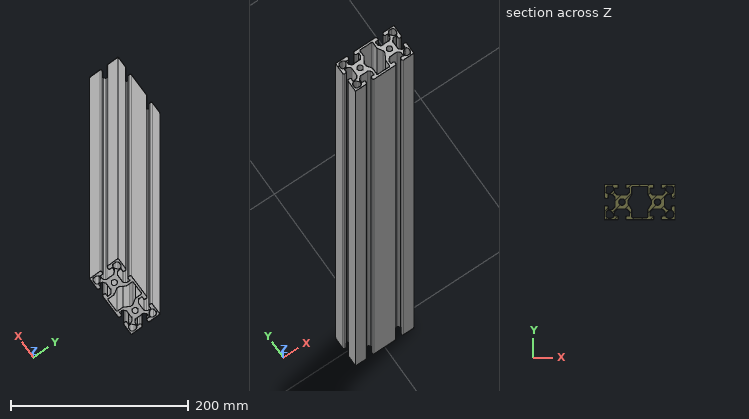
import cadquery as cq
import math

width = 80.0
depth = 40.0
length = 1000.0
half_width = width / 2
half_depth = depth / 2

module = depth
half_module = module / 2

slot_opening = 8.0
slot_mouth_radius = 1.5
slot_lip_radius = 1.2
lip_thickness = 4.5
slot_inner_width = 16.8
slot_wing_depth = 9.0
slot_wing_radius = 3.0
slot_floor_width = 10.8
slot_floor_radius = 2.0
slot_depth = 11.9

core_bore_diameter = 6.8

corner_wall = 2.0
corner_hollow_size = 8.5
corner_hollow_cut = 4.0
corner_hollow_radius = 3.0

cavity_wall = 2.5
cavity_neck_width = 17.5
cavity_neck_radius = 1.0
cavity_shoulder_height = 17.0
cavity_waist_width = 26.0
cavity_waist_height = 3.6
cavity_waist_radius = 2.5


def rounding(before, corner, after):
    """Start, middle and end of the arc that rounds a corner (x, y, radius)."""
    x, y, radius = corner
    to_before = math.atan2(before[1] - y, before[0] - x)
    to_after = math.atan2(after[1] - y, after[0] - x)
    half_angle = math.remainder(to_after - to_before, 2 * math.pi) / 2
    bisector = to_before + half_angle
    tangent = radius / math.tan(abs(half_angle))
    reach = radius / math.sin(abs(half_angle)) - radius
    return [
        (x + distance * math.cos(angle), y + distance * math.sin(angle))
        for distance, angle in ((tangent, to_before), (reach, bisector), (tangent, to_after))
    ]


def prism(corners):
    """Full-length prism from a closed outline of (x, y, radius) corners; radius 0 is sharp."""
    outline = None
    for index, corner in enumerate(corners):
        following = corners[(index + 1) % len(corners)]
        if corner[2] > 0:
            start, middle, end = rounding(corners[index - 1], corner, following)
        else:
            start = corner[:2]
        if outline is None:
            outline = cq.Workplane("XY").moveTo(*start)
        else:
            outline = outline.lineTo(*start)
        if corner[2] > 0:
            outline = outline.threePointArc(middle, end)
    return outline.close().extrude(length)


def slot_corners(centre, angle):
    """Corners of the T-slot on one face of the module at x = centre.

    At angle 0 the slot opens toward -Y and its corners run from -X to +X.
    """
    right_half = [
        (slot_opening / 2, 0, slot_mouth_radius),
        (slot_opening / 2, lip_thickness, slot_lip_radius),
        (slot_inner_width / 2, lip_thickness, 0),
        (slot_inner_width / 2, slot_wing_depth, slot_wing_radius),
        (slot_floor_width / 2, slot_depth, slot_floor_radius),
    ]
    left_half = [(-across, inward, radius) for across, inward, radius in right_half]
    cosine = math.cos(math.radians(angle))
    sine = math.sin(math.radians(angle))
    corners = []
    for across, inward, radius in left_half + right_half[::-1]:
        from_middle = inward - half_module
        x = centre + across * cosine - from_middle * sine
        y = across * sine + from_middle * cosine
        corners.append((x, y, radius))
    return corners


def slotted_body():
    """Rectangular bar with its six T-slots, outlined counter-clockwise."""
    left = -half_module
    right = half_module
    return prism(
        [(-half_width, -half_depth, 0)]
        + slot_corners(left, 0)
        + slot_corners(right, 0)
        + [(half_width, -half_depth, 0)]
        + slot_corners(right, 90)
        + [(half_width, half_depth, 0)]
        + slot_corners(right, 180)
        + slot_corners(left, 180)
        + [(-half_width, half_depth, 0)]
        + slot_corners(left, 270)
    )


def central_cavity():
    """Cavity with straight necks at the long sides, widening to a flat waist."""
    quarter = [
        (cavity_neck_width / 2, half_depth - cavity_wall, cavity_neck_radius),
        (cavity_neck_width / 2, cavity_shoulder_height / 2, 0),
        (cavity_waist_width / 2, cavity_waist_height / 2, cavity_waist_radius),
    ]
    right_half = quarter + [(x, -y, radius) for x, y, radius in reversed(quarter)]
    left_half = [(-x, -y, radius) for x, y, radius in right_half]
    return prism(right_half + left_half)


def corner_hollow():
    """Hollow of the corner at +X +Y."""
    outer_x = half_width - corner_wall
    outer_y = half_depth - corner_wall
    inner_x = outer_x - corner_hollow_size
    inner_y = outer_y - corner_hollow_size
    points = [
        (outer_x, outer_y),
        (inner_x, outer_y),
        (inner_x, inner_y + corner_hollow_cut),
        (inner_x + corner_hollow_cut, inner_y),
        (outer_x, inner_y),
    ]
    return prism([(x, y, corner_hollow_radius) for x, y in points])


def cut_corner_hollows(body):
    """Cut the hollow in all four corners."""
    right_front = corner_hollow().mirror("XZ")
    for hollow in (corner_hollow(), right_front):
        body = body.cut(hollow).cut(hollow.mirror("YZ"))
    return body


def core_bores():
    """Round bores through the cores of both modules."""
    return (
        cq.Workplane("XY")
        .pushPoints([(-half_module, 0), (half_module, 0)])
        .circle(core_bore_diameter / 2)
        .extrude(length)
    )


hollowed = slotted_body().cut(central_cavity()).cut(core_bores())
result = cut_corner_hollows(hollowed)